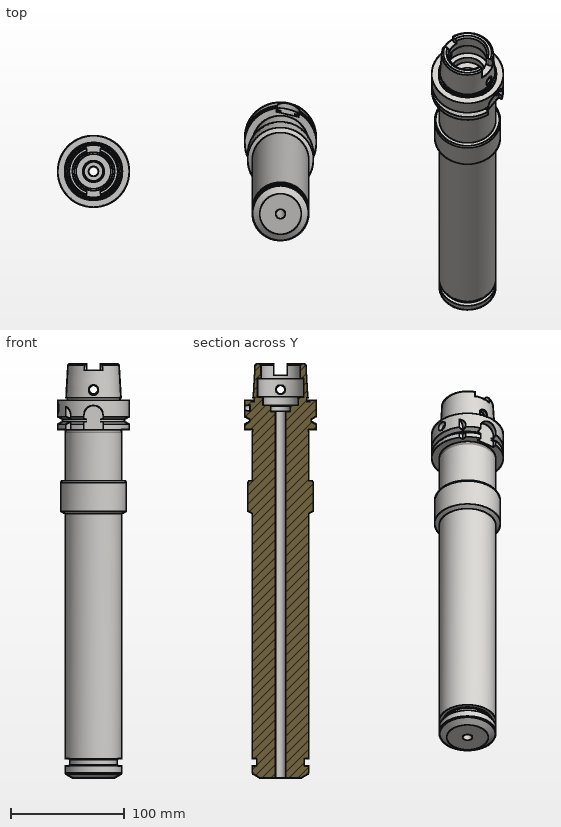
import cadquery as cq
import math

LENGTH = 364.0
FLANGE_TOP = 332.0
FLANGE_BOTTOM = 306.0
FLANGE_RADIUS = 63.0 / 2

GROOVE_RADIUS = 27.3
GROOVE_MID = 314.0
GROOVE_FLOOR_HALF = 1.0
GROOVE_MOUTH_HALF = 3.3

TAPER_BASE_RADIUS = 48.5 / 2
TAPER_TOP_RADIUS = 22.5
TIP_CHAMFER = 1.5
RELIEF_RADIUS = 23.3
RELIEF_HEIGHT = 2.2
RELIEF_FACE_RADIUS = 25.5
RELIEF_FACE_DEPTH = 1.5

BODY_RADIUS = 50.0 / 2
NECK_RADIUS = 24.8
NECK_HEIGHT = 2.5
COLLAR_RADIUS = 58.0 / 2
COLLAR_TOP = 261.5
COLLAR_BOTTOM = 232.2
COLLAR_TOP_CHAMFER_R = 1.0
COLLAR_TOP_CHAMFER_Z = 2.0
COLLAR_BOTTOM_CHAMFER_Z = 2.2

RING_TOP = 17.0
RING_BOTTOM = 11.0
RING_RADIUS = 42.0 / 2
RING_CORNER = 0.7
END_RADIUS = 18.2
END_BREAK_RADIUS = 24.5
END_BREAK_Z = 3.5
END_BEVEL_TOP = 4.7

MOUTH_RADIUS = 18.5
MOUTH_CHAMFER = 1.65
UPPER_BORE_RADIUS = MOUTH_RADIUS - MOUTH_CHAMFER
UPPER_BORE_BOTTOM = 351.0
UNDERCUT_RADIUS = 20.0
UNDERCUT_BOTTOM = 335.0
MAIN_BORE_RADIUS = 15.3
MAIN_BORE_BOTTOM = 327.5
RECESS_RADIUS = 8.5
RECESS_CHAMFER = 1.0
RECESS_BOTTOM = 322.0
THROUGH_RADIUS = 8.5 / 2

KEY_WIDTH = 11.5
KEY_ROUNDING = 3.3
KEY_ROUNDING_Y = 18.2
KEY_START = 11.0
KEY_REACH = 25.5
FRONT_KEY_DEPTH = 6.0
BACK_KEY_DEPTH = 10.2

ACCESS_DIAMETER = 7.5
ACCESS_Z = 341.0
ACCESS_SINK = 0.7

SLOT_FLOOR = 26.5
SLOT_CENTRE_Z = 319.0
FRONT_SLOT_WIDTH = 16.7
BACK_SLOT_WIDTH = 20.0
SLOT_OVERRUN = 3.5

NOTCH_INSET = 20.0

CHIP_DIAMETER = 8.5
CHIP_DEPTH = 4.7
CHIP_Z = 325.0
CHIP_ANGLE = 187.0


def revolve(points):
    """Turn an (r, z) outline about the Z axis."""
    profile = cq.Workplane("XZ").polyline(points).close()
    return profile.revolve(360, (0, 0, 0), (0, 1, 0))


def turned_body():
    """Solid of the whole outer outline, from the lower end up to the shank rim."""
    return revolve([
        (0, 0),
        (END_RADIUS, 0),
        (END_BREAK_RADIUS, END_BREAK_Z),
        (BODY_RADIUS, END_BEVEL_TOP),
        (BODY_RADIUS, RING_BOTTOM),
        (RING_RADIUS + RING_CORNER, RING_BOTTOM),
        (RING_RADIUS, RING_BOTTOM + RING_CORNER),
        (RING_RADIUS, RING_TOP - RING_CORNER),
        (RING_RADIUS + RING_CORNER, RING_TOP),
        (BODY_RADIUS, RING_TOP),
        (BODY_RADIUS, COLLAR_BOTTOM),
        (COLLAR_RADIUS, COLLAR_BOTTOM + COLLAR_BOTTOM_CHAMFER_Z),
        (COLLAR_RADIUS, COLLAR_TOP - COLLAR_TOP_CHAMFER_Z),
        (COLLAR_RADIUS - COLLAR_TOP_CHAMFER_R, COLLAR_TOP),
        (BODY_RADIUS, COLLAR_TOP),
        (BODY_RADIUS, FLANGE_BOTTOM - NECK_HEIGHT),
        (NECK_RADIUS, FLANGE_BOTTOM - NECK_HEIGHT / 2),
        (NECK_RADIUS, FLANGE_BOTTOM),
        (FLANGE_RADIUS, FLANGE_BOTTOM),
        (FLANGE_RADIUS, GROOVE_MID - GROOVE_MOUTH_HALF),
        (GROOVE_RADIUS, GROOVE_MID - GROOVE_FLOOR_HALF),
        (GROOVE_RADIUS, GROOVE_MID + GROOVE_FLOOR_HALF),
        (FLANGE_RADIUS, GROOVE_MID + GROOVE_MOUTH_HALF),
        (FLANGE_RADIUS, FLANGE_TOP),
        (RELIEF_FACE_RADIUS, FLANGE_TOP),
        (RELIEF_FACE_RADIUS, FLANGE_TOP - RELIEF_FACE_DEPTH),
        (RELIEF_RADIUS, FLANGE_TOP - RELIEF_FACE_DEPTH),
        (RELIEF_RADIUS, FLANGE_TOP + RELIEF_HEIGHT),
        (TAPER_BASE_RADIUS, FLANGE_TOP + RELIEF_HEIGHT),
        (TAPER_TOP_RADIUS, LENGTH - TIP_CHAMFER),
        (TAPER_TOP_RADIUS - TIP_CHAMFER, LENGTH),
        (0, LENGTH),
    ])


def axial_bores():
    """Stepped bore of the hollow shank and the hole through the whole length."""
    return revolve([
        (0, 0),
        (THROUGH_RADIUS, 0),
        (THROUGH_RADIUS, RECESS_BOTTOM),
        (RECESS_RADIUS, RECESS_BOTTOM),
        (RECESS_RADIUS, MAIN_BORE_BOTTOM - RECESS_CHAMFER),
        (RECESS_RADIUS + RECESS_CHAMFER, MAIN_BORE_BOTTOM),
        (MAIN_BORE_RADIUS, MAIN_BORE_BOTTOM),
        (MAIN_BORE_RADIUS, UNDERCUT_BOTTOM),
        (UNDERCUT_RADIUS, UNDERCUT_BOTTOM),
        (UNDERCUT_RADIUS, UPPER_BORE_BOTTOM),
        (UPPER_BORE_RADIUS, UPPER_BORE_BOTTOM),
        (UPPER_BORE_RADIUS, LENGTH - MOUTH_CHAMFER),
        (MOUTH_RADIUS, LENGTH),
        (0, LENGTH),
    ])


def keyway(side, depth):
    """Rim slot toward side * Y whose walls curve apart toward the outside."""
    half = KEY_WIDTH / 2
    mouth = half + KEY_ROUNDING
    start = side * KEY_START
    bend = side * KEY_ROUNDING_Y
    end = bend + side * KEY_ROUNDING
    reach = side * KEY_REACH
    arc_x = mouth - KEY_ROUNDING * math.cos(math.pi / 4)
    arc_y = bend + side * KEY_ROUNDING * math.sin(math.pi / 4)
    outline = (
        cq.Workplane("XY", origin=(0, 0, LENGTH - depth))
        .moveTo(-half, start)
        .lineTo(half, start)
        .lineTo(half, bend)
        .threePointArc((arc_x, arc_y), (mouth, end))
        .lineTo(mouth, reach)
        .lineTo(-mouth, reach)
        .lineTo(-mouth, end)
        .threePointArc((-arc_x, arc_y), (-half, bend))
        .close()
    )
    return outline.extrude(depth)


def round_topped_cutter(x, width, floor, side):
    """Cutter reaching from the flange bottom to a round top, outward of the flat at side * floor."""
    depth = FLANGE_RADIUS - floor + SLOT_OVERRUN
    height = SLOT_CENTRE_Z - FLANGE_BOTTOM
    middle = side * (floor + depth / 2)
    legs = cq.Workplane("XY").box(width, depth, height).translate((x, middle, SLOT_CENTRE_Z - height / 2))
    dome = cq.Workplane("XZ").circle(width / 2).extrude(depth / 2, both=True)
    return legs.union(dome.translate((x, middle, SLOT_CENTRE_Z)))


def access_hole():
    """Cross hole along Y, countersunk where it leaves the taper on both sides."""
    radius = ACCESS_DIAMETER / 2
    taper_top = LENGTH - TIP_CHAMFER
    taper_base = FLANGE_TOP + RELIEF_HEIGHT
    taper_slope = (TAPER_BASE_RADIUS - TAPER_TOP_RADIUS) / (taper_top - taper_base)
    surface = TAPER_TOP_RADIUS + taper_slope * (taper_top - ACCESS_Z)
    hole = cq.Workplane("XZ").circle(radius).extrude(FLANGE_RADIUS, both=True)
    for side in (-1, 1):
        sink = cq.Solid.makeCone(
            radius,
            radius + 2 * ACCESS_SINK,
            2 * ACCESS_SINK,
            pnt=cq.Vector(0, side * (surface - ACCESS_SINK), 0),
            dir=cq.Vector(0, side, 0),
        )
        hole = hole.union(cq.Workplane(obj=sink))
    return hole.translate((0, 0, ACCESS_Z))


def chip_hole():
    """Blind radial hole, turned about Z to its angle on the flange."""
    hole = cq.Workplane("YZ").circle(CHIP_DIAMETER / 2).extrude(2 * CHIP_DEPTH)
    hole = hole.translate((FLANGE_RADIUS - CHIP_DEPTH, 0, CHIP_Z))
    return hole.rotate((0, 0, 0), (0, 0, 1), CHIP_ANGLE)


result = turned_body().cut(axial_bores())
result = result.cut(keyway(-1, FRONT_KEY_DEPTH)).cut(keyway(1, BACK_KEY_DEPTH))
result = result.cut(access_hole())
result = result.cut(round_topped_cutter(0, FRONT_SLOT_WIDTH, SLOT_FLOOR, -1))
result = result.cut(round_topped_cutter(0, BACK_SLOT_WIDTH, SLOT_FLOOR, 1))
notch_x = -NOTCH_INSET - FRONT_SLOT_WIDTH / 2
result = result.cut(round_topped_cutter(notch_x, FRONT_SLOT_WIDTH, NOTCH_INSET, -1))
result = result.cut(chip_hole())